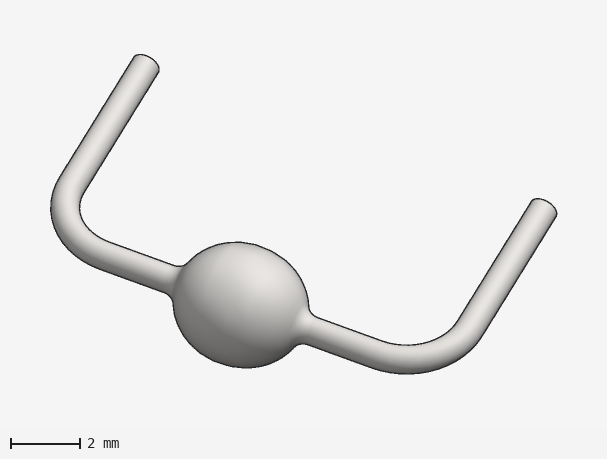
import cadquery as cq
import math

overall_width = 13.52
wire_diameter = 0.84
bend_radius = 2.0
lead_reach = 7.0
bead_half_length = 2.0
bead_radius = 1.8
blend_joint_x = 1.84

wire_radius = wire_diameter / 2
lead_x = overall_width / 2 - wire_radius
bend_start_x = lead_x - bend_radius


def make_bead_and_wire():
    """Bead, its tangent blends and the straight wire, turned about the X axis."""
    joint_angle = math.acos(blend_joint_x / bead_half_length)
    joint_radius = bead_radius * math.sin(joint_angle)
    slope_x = math.cos(joint_angle) / bead_half_length
    slope_r = math.sin(joint_angle) / bead_radius
    normal_x = slope_x / math.hypot(slope_x, slope_r)
    normal_r = slope_r / math.hypot(slope_x, slope_r)

    blend_radius = (joint_radius - wire_radius) / (1 - normal_r)
    blend_centre_x = blend_joint_x + blend_radius * normal_x
    blend_centre_r = wire_radius + blend_radius
    middle_angle = (math.atan2(-normal_r, -normal_x) - math.pi / 2) / 2
    middle_x = blend_centre_x + blend_radius * math.cos(middle_angle)
    middle_r = blend_centre_r + blend_radius * math.sin(middle_angle)

    joint_degrees = math.degrees(joint_angle)
    profile = (
        cq.Workplane("XY")
        .moveTo(bend_start_x, 0)
        .lineTo(bend_start_x, wire_radius)
        .lineTo(blend_centre_x, wire_radius)
        .threePointArc((middle_x, middle_r), (blend_joint_x, joint_radius))
        .ellipseArc(bead_half_length, bead_radius, joint_degrees, 180 - joint_degrees)
        .threePointArc((-middle_x, middle_r), (-blend_centre_x, wire_radius))
        .lineTo(-bend_start_x, wire_radius)
        .lineTo(-bend_start_x, 0)
        .close()
    )
    return profile.revolve(360, (0, 0, 0), (1, 0, 0))


def make_bent_lead(side):
    """Quarter bend and straight leg; side is -1 for -X or 1 for +X."""
    bend = (
        cq.Workplane("YZ", origin=(side * bend_start_x, 0, 0))
        .circle(wire_radius)
        .revolve(90, (bend_radius, 0), (bend_radius, side))
    )
    leg = (
        cq.Workplane("XZ", origin=(side * lead_x, bend_radius, 0))
        .circle(wire_radius)
        .extrude(bend_radius - lead_reach)
    )
    return bend.union(leg)


result = make_bead_and_wire()
for lead_side in (-1, 1):
    result = result.union(make_bent_lead(lead_side))